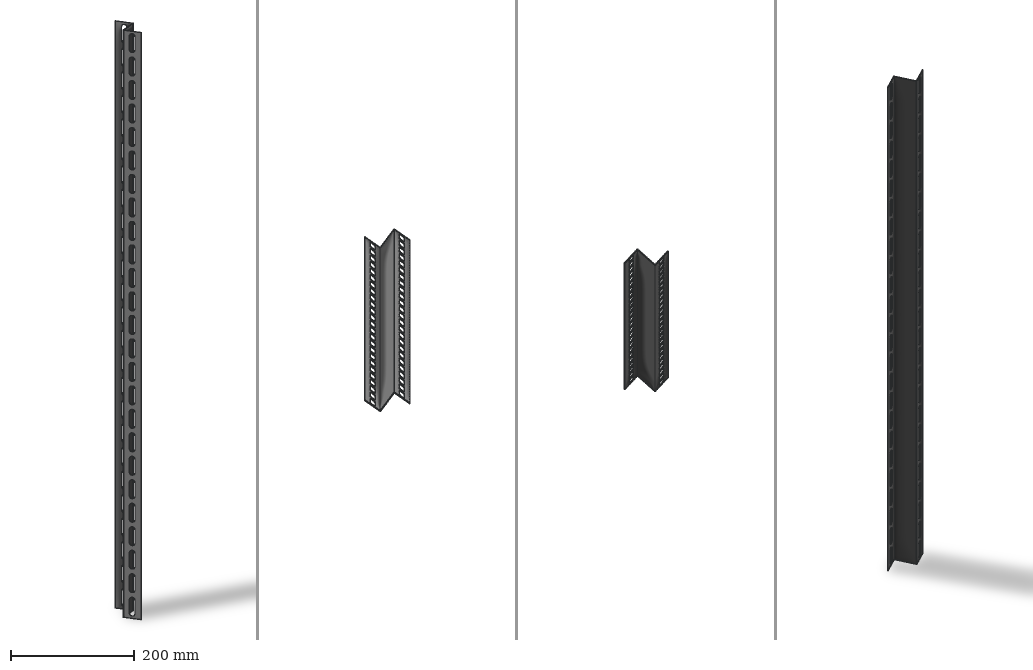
import cadquery as cq

length = 1000.0
depth = 40.0
flange_width = 32.0
thickness = 1.5
half_width = flange_width - thickness / 2

slot_pitch = 40.0
slot_count = int(length / slot_pitch)
slot_length = 32.0
slot_width = 10.0
slot_row_x = half_width - flange_width / 2
slot_angle = 90.0


def z_profile():
    """Sharp-cornered Z section, web centred on X = 0, extruded along Z."""
    half_web = thickness / 2
    half_depth = depth / 2
    inner_half_depth = half_depth - thickness
    outline = [
        (-half_width, half_depth),
        (half_web, half_depth),
        (half_web, -inner_half_depth),
        (half_width, -inner_half_depth),
        (half_width, -half_depth),
        (-half_web, -half_depth),
        (-half_web, inner_half_depth),
        (-half_width, inner_half_depth),
    ]
    return cq.Workplane("XY").polyline(outline).close().extrude(length)


def slot_cutters():
    """Round-ended slots along Z, one evenly spaced row through each flange."""
    centres = []
    for index in range(slot_count):
        slot_z = (index + 0.5) * slot_pitch
        centres.append((-slot_row_x, slot_z))
        centres.append((slot_row_x, slot_z))
    return (
        cq.Workplane("XZ")
        .pushPoints(centres)
        .slot2D(slot_length, slot_width, slot_angle)
        .extrude(depth, both=True)
    )


result = z_profile().cut(slot_cutters())